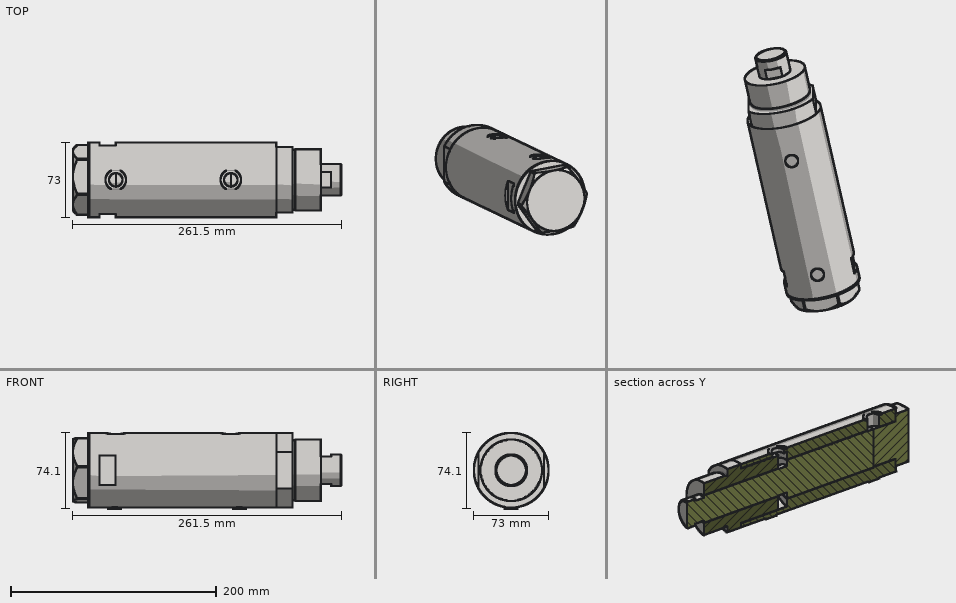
import cadquery as cq
import math


body_dia = 73.0
bore_dia = 44.0
rod_dia = 31.0
gland_spigot_dia = 62.0

hex_across_flats = 60.0
hex_corner_dia = 68.4
hex_turn = -6.0
hex_length = 14.5
hex_chamfer_length = 4.0
hex_chamfer_depth = (hex_corner_dia - hex_across_flats) / 2
cap_flange_length = 1.5

barrel_start = hex_length + cap_flange_length
barrel_length = 182.0
barrel_end = barrel_start + barrel_length
barrel_flat_setback = 10.0
barrel_flat_start = barrel_start + barrel_flat_setback
barrel_flat_length = 15.5
barrel_across_flats = 67.0

rear_port_x = 41.7
front_port_x = 153.7
port_dia = 13.1
port_face_dia = 20.0
port_face_depth = 1.1
port_face_height = body_dia / 2 - port_face_depth

boss_positions = (40.6, 162.0)
boss_dia = 12.6
boss_height = 1.1
boss_bottom = -(body_dia / 2 + boss_height)

gland_bore_start = front_port_x - port_face_dia / 2

gland_flange_length = 16.0
gland_across_flats = 64.0
groove_length = 2.0
groove_dia = 58.4
groove_fillet = 0.7
nose_length = 25.5
nose_dia = 60.0
nose_chamfer = 0.8
gland_flange_end = barrel_end + gland_flange_length
nose_start = gland_flange_end + groove_length
nose_end = nose_start + nose_length

rod_end = 261.52
rod_chamfer = 1.2
rod_flat_length = 9.8
rod_across_flats = 27.0


def cylinder_along_x(start, end, diameter):
    """Solid cylinder on the main axis between two X positions."""
    return cq.Workplane("YZ", origin=(start, 0, 0)).circle(diameter / 2).extrude(end - start)


def cylinder_along_z(x, bottom, top, diameter):
    """Upright cylinder centred on X between two Z heights."""
    return cq.Workplane("XY", origin=(x, 0, bottom)).circle(diameter / 2).extrude(top - bottom)


def slab(start, length, width_y, height_z):
    """Box centred on the main axis, starting at a given X."""
    return cq.Workplane("YZ", origin=(start, 0, 0)).rect(width_y, height_z).extrude(length)


def side_flats(start, length, across_flats, across_y):
    """Material outside a pair of opposite flats; the flats face Y or Z."""
    block = slab(start, length, body_dia * 2, body_dia * 2)
    if across_y:
        return block.cut(slab(start, length, across_flats, body_dia * 2))
    return block.cut(slab(start, length, body_dia * 2, across_flats))


def make_cap():
    """Hexagon head with chamfered corners, thin flange and spigot closing the bore."""
    corner_radius = hex_across_flats / 2 / math.cos(math.radians(30))
    head = (
        cq.Workplane("YZ")
        .transformed(rotate=(0, 0, hex_turn))
        .polygon(6, 2 * corner_radius)
        .extrude(hex_length)
    )
    corner_envelope = (
        cylinder_along_x(0, hex_length, hex_corner_dia)
        .faces("<X")
        .chamfer(hex_chamfer_length, hex_chamfer_depth)
    )
    flange = cylinder_along_x(hex_length, barrel_start, body_dia)
    spigot = cylinder_along_x(barrel_start, rear_port_x, bore_dia)
    return head.intersect(corner_envelope).union(flange).union(spigot)


def make_barrel():
    """Tube with wrench flats, two spot-faced ports on top and two bosses below."""
    barrel = cylinder_along_x(barrel_start, barrel_end, body_dia)
    for x in boss_positions:
        barrel = barrel.union(cylinder_along_z(x, boss_bottom, 0, boss_dia))
    barrel = barrel.cut(side_flats(barrel_flat_start, barrel_flat_length, barrel_across_flats, True))
    for x in (rear_port_x, front_port_x):
        barrel = barrel.cut(cylinder_along_z(x, port_face_height, body_dia, port_face_dia))
        barrel = barrel.cut(cylinder_along_z(x, 0, body_dia, port_dia))
    barrel = barrel.cut(cylinder_along_x(barrel_start, barrel_end, bore_dia))
    return barrel.cut(cylinder_along_x(gland_bore_start, barrel_end, gland_spigot_dia))


def make_gland():
    """Spigot inside the barrel, flange with wrench flats, relief groove and nose."""
    flange = cylinder_along_x(barrel_end, gland_flange_end, body_dia)
    flange = flange.cut(side_flats(barrel_end, gland_flange_length, gland_across_flats, True))
    spigot = cylinder_along_x(front_port_x, barrel_end, gland_spigot_dia)
    groove_core = cylinder_along_x(gland_flange_end, nose_start, groove_dia)
    nose = cylinder_along_x(nose_start, nose_end, nose_dia).faces("<X").chamfer(nose_chamfer)
    groove_corner = cq.selectors.BoxSelector(
        (gland_flange_end - groove_fillet, -groove_dia, -groove_dia),
        (gland_flange_end + groove_fillet, groove_dia, groove_dia),
    )
    gland = flange.union(groove_core)
    gland = gland.edges("%CIRCLE").edges(groove_corner).edges(cq.selectors.RadiusNthSelector(0))
    gland = gland.fillet(groove_fillet).union(spigot).union(nose)
    return gland.cut(cylinder_along_x(front_port_x, nose_end, rod_dia))


def make_piston_rod():
    """Piston filling the bore up to the wide front bore, with the rod and its two flats."""
    piston = cylinder_along_x(rear_port_x, gland_bore_start, bore_dia)
    rod = cylinder_along_x(gland_bore_start, rod_end, rod_dia).faces(">X").chamfer(rod_chamfer)
    rod = rod.cut(side_flats(nose_end, rod_flat_length, rod_across_flats, False))
    return piston.union(rod)


cap = make_cap()
barrel = make_barrel()
gland = make_gland()
piston_rod = make_piston_rod()

result = cq.Compound.makeCompound([cap.val(), barrel.val(), gland.val(), piston_rod.val()])